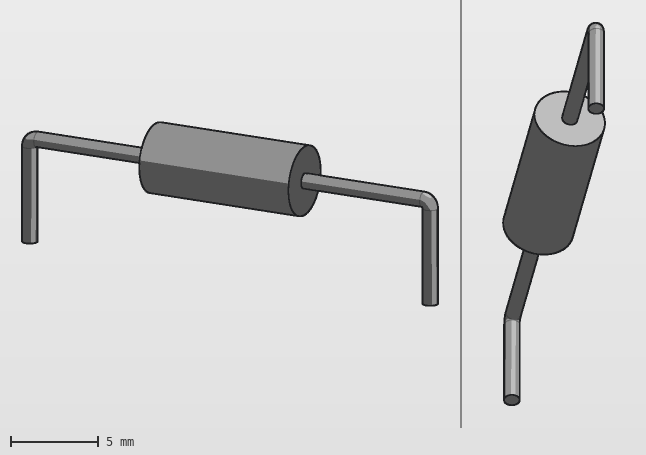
import cadquery as cq
import math

overall_length = 26.4
overall_height = 8.2
body_diameter = 4.1
body_length = 9.5
wire_diameter = 0.9
bend_inside_radius = 0.013

wire_radius = wire_diameter / 2
body_end = body_length / 2
leg_x = overall_length / 2 - wire_radius
lead_bottom = body_diameter / 2 - overall_height
bend_radius = wire_radius + bend_inside_radius
bend_start_x = leg_x - bend_radius
bend_middle_offset = bend_radius * math.sin(math.radians(45))


def make_body():
    """Plain cylinder centred on the origin."""
    return (
        cq.Workplane("YZ", origin=(-body_end, 0, 0))
        .circle(body_diameter / 2)
        .extrude(body_length)
    )


def make_lead(side):
    """Round wire from a body end face, bent down; side is -1 for the -X end, +1 for the +X end."""
    bend_middle = (
        side * (bend_start_x + bend_middle_offset),
        bend_middle_offset - bend_radius,
    )
    centreline = (
        cq.Workplane("XZ")
        .moveTo(side * body_end, 0)
        .lineTo(side * bend_start_x, 0)
        .threePointArc(bend_middle, (side * leg_x, -bend_radius))
        .lineTo(side * leg_x, lead_bottom)
    )
    return (
        cq.Workplane("YZ", origin=(side * body_end, 0, 0))
        .circle(wire_radius)
        .sweep(centreline)
    )


body = make_body()
leads = [make_lead(side) for side in (-1, 1)]

result = cq.Compound.makeCompound([body.val(), *[lead.val() for lead in leads]])